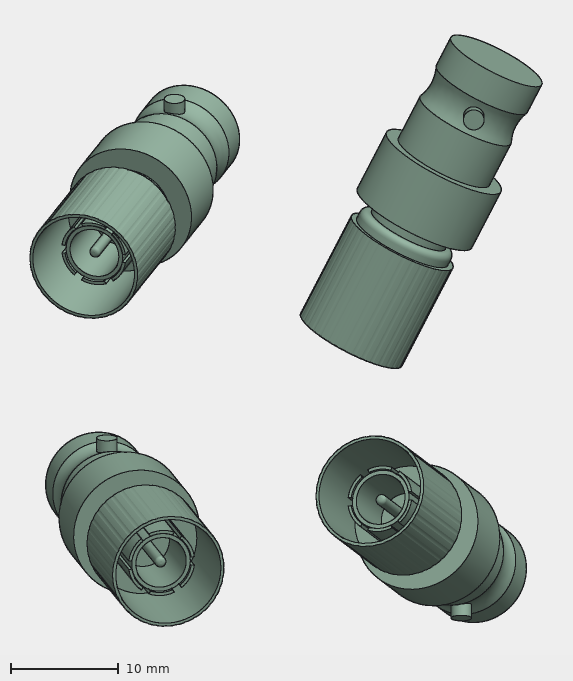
import cadquery as cq
import math

total_length = 30.02
jack_end = total_length / 2
plug_end = -total_length / 2

body_radius = 4.77
waist_radius = 4.4
waist_length = 3.35
lug_y = jack_end - 4.68
waist_front = lug_y - waist_length / 2
waist_back = lug_y + waist_length / 2
lug_radius = 0.95
lug_reach = 5.58

collar_radius = 6.0
collar_length = 6.05
collar_back = jack_end - 10.87
collar_front = collar_back - collar_length
neck_radius = 3.87

sleeve_back = jack_end - 18.2
shoulder_fillet = 0.63
grip_length = 10.55
grip_back = plug_end + grip_length
grip_radius = 5.3
sleeve_bore_radius = 5.0
sleeve_floor = grip_back - 0.6

flute_count = 35
flute_chord = 0.42
flute_sagitta = 0.03

tube_radius = 2.8
tube_bore_radius = 2.4
tube_front = plug_end + 3.0
finger_outer_radius = 3.15
finger_inner_radius = 2.85
finger_front = plug_end + 2.8
finger_count = 6
finger_slot_width = 0.8
pin_radius = 0.5
pin_tip_round = 0.35
pin_front = plug_end + 2.88


def cylinder(radius, y_front, y_back):
    """Cylinder about the Y axis between two places along it."""
    return cq.Workplane("XZ", origin=(0, y_back, 0)).circle(radius).extrude(y_back - y_front)


def tube(outer_radius, inner_radius, y_front, y_back):
    """Hollow cylinder about the Y axis."""
    ring = cq.Workplane("XZ", origin=(0, y_back, 0)).circle(outer_radius).circle(inner_radius)
    return ring.extrude(y_back - y_front)


def make_body():
    """Jack body, collar, neck and shoulder, revolved as one solid profile."""
    profile = (
        cq.Workplane("YZ")
        .moveTo(jack_end, 0)
        .lineTo(jack_end, body_radius)
        .lineTo(waist_back, body_radius)
        .threePointArc((lug_y, waist_radius), (waist_front, body_radius))
        .lineTo(collar_back, body_radius)
        .lineTo(collar_back, collar_radius)
        .lineTo(collar_front, collar_radius)
        .lineTo(collar_front, neck_radius)
        .lineTo(sleeve_back, neck_radius)
        .lineTo(sleeve_back, body_radius - shoulder_fillet)
        .radiusArc((sleeve_back - shoulder_fillet, body_radius), -shoulder_fillet)
        .lineTo(grip_back, body_radius)
        .lineTo(grip_back, 0)
        .close()
    )
    return profile.revolve(360, (0, 0, 0), (1, 0, 0))


def make_lugs():
    """One round bar across the waist, giving a lug at each end."""
    return cq.Workplane("XY", origin=(0, lug_y, -lug_reach)).circle(lug_radius).extrude(2 * lug_reach)


def make_flutes():
    """Round cutters spaced evenly about the grip, the first one at +X."""
    cutter_radius = (flute_chord**2 / 4 + flute_sagitta**2) / (2 * flute_sagitta)
    half_chord_angle = math.asin(flute_chord / 2 / grip_radius)
    chord_distance = grip_radius * math.cos(half_chord_angle)
    centre_distance = chord_distance - flute_sagitta + cutter_radius
    return (
        cq.Workplane("XZ", origin=(0, grip_back, 0))
        .polarArray(centre_distance, 0, 360, flute_count)
        .circle(cutter_radius)
        .extrude(grip_length, combine=False)
    )


def make_grip():
    """Fluted grip, solid until the sleeve is bored."""
    grip = cylinder(grip_radius, plug_end, grip_back)
    for flute in make_flutes().vals():
        grip = grip.cut(cq.Workplane(flute))
    return grip


def make_fingers():
    """Ring of spring fingers parted by slots, with one slot along the X axis."""
    fingers = tube(finger_outer_radius, finger_inner_radius, finger_front, sleeve_floor)
    slot = cq.Workplane("XY").box(2 * sleeve_bore_radius, 2 * total_length, finger_slot_width)
    for index in range(finger_count // 2):
        fingers = fingers.cut(slot.rotate((0, 0, 0), (0, 1, 0), index * 360 / finger_count))
    return fingers


def make_pin():
    """Centre pin with a rounded tip."""
    return cylinder(pin_radius, pin_front, sleeve_floor).faces("<Y").edges().fillet(pin_tip_round)


bore = cylinder(sleeve_bore_radius, plug_end, sleeve_floor)
shell = make_body().union(make_lugs()).union(make_grip()).cut(bore)
contact_tube = tube(tube_radius, tube_bore_radius, tube_front, sleeve_floor)
result = shell.union(contact_tube).union(make_fingers()).union(make_pin())